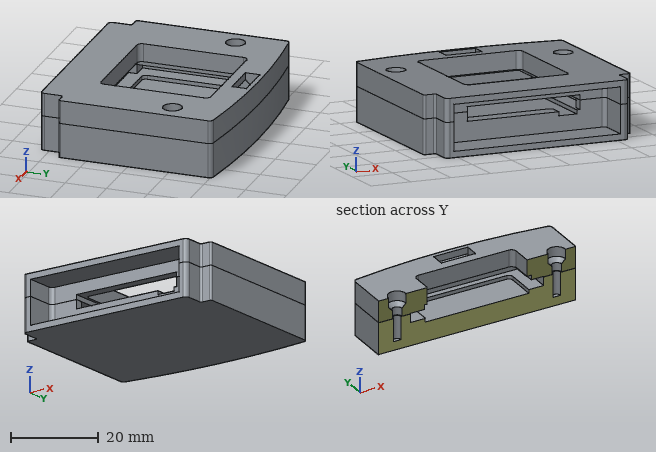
import cadquery as cq

CASE_WIDTH = 51.9
CASE_LENGTH = 44.4
CASE_HEIGHT = 14.0
SPLIT_Z = 8.4
SIDE_LENGTH = 42.6
NOSE_WIDTH = 46.0
NOSE_LENGTH = 5.45
CORNER_RADIUS = 1.0
SHOULDER_RADIUS = 0.5

MOUTH_WIDTH = 41.8
MOUTH_DEPTH = 8.0
MOUTH_WALL = 1.5
MOUTH_RADIUS = 1.0

RECESS_LEFT = -13.8
RECESS_RIGHT = 14.35
RECESS_BACK = 41.0
RECESS_FLOOR_Z = 6.15
RECESS_ROOF_Z = 9.6
RECESS_RADIUS = 0.6
TRAY_WIDTH = 35.0
TRAY_FRONT = 10.0

POCKET_WIDTH = 27.2
POCKET_FRONT = 11.6
POCKET_BACK = 39.5
POCKET_FLOOR_Z = 5.2
POCKET_RADIUS = 1.0
CHANNEL_LEFT = 9.1

WINDOW_WIDTH = 26.2
WINDOW_FRONT = 10.7
WINDOW_BACK = 37.3
WINDOW_RADIUS = 1.2

LATCH_WIDTH = 9.0
LATCH_FRONT = 39.7
LATCH_BACK = 43.2
LATCH_WALL = 1.7
LATCH_SLOPE = 1.55

SCREW_X = 21.0
SCREW_Y = 31.3
HEAD_DIAMETER = 4.5
HEAD_DEPTH = 2.5
CLEARANCE_DIAMETER = 2.4
PILOT_DIAMETER = 1.9
PILOT_DEPTH = 6.0

POSITION_TOLERANCE = 0.01


def block(left, right, front, back, bottom, top):
    """Box given by its limits along x, y and z."""
    return (
        cq.Workplane("XY")
        .box(right - left, back - front, top - bottom, centered=False)
        .translate((left, front, bottom))
    )


def upright_edges_at(body, y):
    """Vertical edges of a body that lie at the given y."""
    reach = POSITION_TOLERANCE
    far = CASE_WIDTH
    strip = cq.selectors.BoxSelector((-far, y - reach, -far), (far, y + reach, far))
    return body.edges("|Z").edges(strip)


def case_slab(bottom, top):
    """Slice of the case outline between two heights."""
    half_case = CASE_WIDTH / 2
    half_nose = NOSE_WIDTH / 2
    slab = (
        cq.Workplane("XY", origin=(0, 0, bottom))
        .moveTo(-half_nose, 0)
        .lineTo(half_nose, 0)
        .lineTo(half_nose, NOSE_LENGTH)
        .lineTo(half_case, NOSE_LENGTH)
        .lineTo(half_case, SIDE_LENGTH)
        .threePointArc((0, CASE_LENGTH), (-half_case, SIDE_LENGTH))
        .lineTo(-half_case, NOSE_LENGTH)
        .lineTo(-half_nose, NOSE_LENGTH)
        .close()
        .extrude(top - bottom)
    )
    slab = upright_edges_at(slab, 0).fillet(CORNER_RADIUS)
    slab = upright_edges_at(slab, SIDE_LENGTH).fillet(CORNER_RADIUS)
    return upright_edges_at(slab, NOSE_LENGTH).fillet(SHOULDER_RADIUS)


def mouth():
    half = MOUTH_WIDTH / 2
    cavity = block(-half, half, 0, MOUTH_DEPTH, MOUTH_WALL, CASE_HEIGHT - MOUTH_WALL)
    return upright_edges_at(cavity, MOUTH_DEPTH).fillet(MOUTH_RADIUS)


def base_recess():
    """Slot through the mouth wall that opens into a wider tray."""
    half_tray = TRAY_WIDTH / 2
    slot = block(RECESS_LEFT, RECESS_RIGHT, MOUTH_DEPTH, RECESS_BACK, RECESS_FLOOR_Z, SPLIT_Z)
    tray = block(-half_tray, half_tray, TRAY_FRONT, RECESS_BACK, RECESS_FLOOR_Z, SPLIT_Z)
    return slot.union(tray)


def lid_recess():
    recess = block(RECESS_LEFT, RECESS_RIGHT, MOUTH_DEPTH, RECESS_BACK, SPLIT_Z, RECESS_ROOF_Z)
    return upright_edges_at(recess, RECESS_BACK).fillet(RECESS_RADIUS)


def component_pocket():
    """Pocket and its channel as one L-shaped cut with rounded upright corners."""
    half = POCKET_WIDTH / 2
    pocket = block(-half, half, POCKET_FRONT, POCKET_BACK, POCKET_FLOOR_Z, RECESS_FLOOR_Z)
    channel = block(CHANNEL_LEFT, half, MOUTH_DEPTH, POCKET_BACK, POCKET_FLOOR_Z, RECESS_FLOOR_Z)
    cut = pocket.union(channel).clean()
    cut = upright_edges_at(cut, POCKET_BACK).fillet(POCKET_RADIUS)
    return upright_edges_at(cut, POCKET_FRONT).fillet(POCKET_RADIUS)


def window():
    half = WINDOW_WIDTH / 2
    opening = block(-half, half, WINDOW_FRONT, WINDOW_BACK, SPLIT_Z, CASE_HEIGHT)
    return opening.edges("|Z").fillet(WINDOW_RADIUS)


def latch_notch():
    """Notch with straight upper walls and sloped lower walls, swept across x."""
    slope_top = CASE_HEIGHT - LATCH_WALL
    floor = slope_top - LATCH_SLOPE
    return (
        cq.Workplane("YZ", origin=(-LATCH_WIDTH / 2, 0, 0))
        .polyline([
            (LATCH_FRONT, CASE_HEIGHT),
            (LATCH_FRONT, slope_top),
            (LATCH_FRONT + LATCH_SLOPE, floor),
            (LATCH_BACK - LATCH_SLOPE, floor),
            (LATCH_BACK, slope_top),
            (LATCH_BACK, CASE_HEIGHT),
        ])
        .close()
        .extrude(LATCH_WIDTH)
    )


def screw_clearance(x):
    """Countersunk head seat at 45 degrees over a clearance hole through the lid."""
    head_radius = HEAD_DIAMETER / 2
    shank_radius = CLEARANCE_DIAMETER / 2
    cone_top = CASE_HEIGHT - HEAD_DEPTH
    cone_bottom = cone_top - (head_radius - shank_radius)
    return (
        cq.Workplane("XZ")
        .polyline([
            (0, SPLIT_Z),
            (shank_radius, SPLIT_Z),
            (shank_radius, cone_bottom),
            (head_radius, cone_top),
            (head_radius, CASE_HEIGHT),
            (0, CASE_HEIGHT),
        ])
        .close()
        .revolve(360, (0, 0, 0), (0, 1, 0))
        .translate((x, SCREW_Y, 0))
    )


def screw_pilot(x):
    """Blind hole in the base for the screw thread."""
    return (
        cq.Workplane("XY", origin=(x, SCREW_Y, SPLIT_Z))
        .circle(PILOT_DIAMETER / 2)
        .extrude(-PILOT_DEPTH)
    )


def make_base():
    base = case_slab(0, SPLIT_Z).cut(mouth()).cut(base_recess()).cut(component_pocket())
    for x in (-SCREW_X, SCREW_X):
        base = base.cut(screw_pilot(x))
    return base


def make_lid():
    lid = case_slab(SPLIT_Z, CASE_HEIGHT).cut(mouth()).cut(lid_recess()).cut(window()).cut(latch_notch())
    for x in (-SCREW_X, SCREW_X):
        lid = lid.cut(screw_clearance(x))
    return lid


base = make_base()
lid = make_lid()
result = cq.Compound.makeCompound([base.val(), lid.val()])